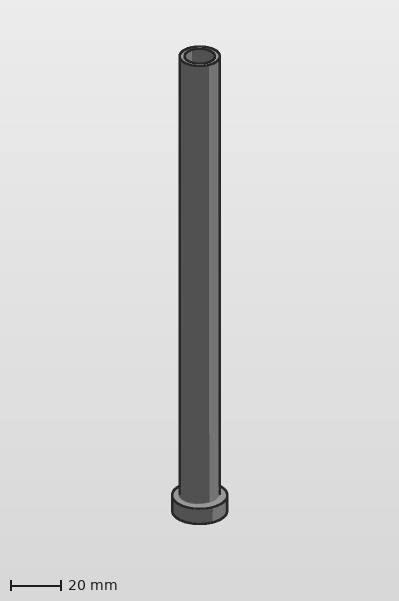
import cadquery as cq

tube_diameter = 16.0
bore_diameter = 12.0
head_diameter = 22.0
head_height = 7.0
total_height = 207.0
fillet_radius = 0.7


def make_sleeve():
    """Headed tube standing on its head, axis along Z, filleted where the tube meets the head."""
    tube_radius = tube_diameter / 2
    head_radius = head_diameter / 2
    fillet_top = head_height + fillet_radius
    profile = (
        cq.Workplane("XZ")
        .lineTo(head_radius, 0)
        .lineTo(head_radius, head_height)
        .lineTo(tube_radius + fillet_radius, head_height)
        .radiusArc((tube_radius, fillet_top), fillet_radius)
        .lineTo(tube_radius, total_height)
        .lineTo(0, total_height)
        .close()
    )
    return profile.revolve(360, (0, 0, 0), (0, 1, 0))


def make_bore():
    """Straight through bore along the full height."""
    return cq.Workplane("XY").circle(bore_diameter / 2).extrude(total_height)


result = make_sleeve().cut(make_bore())